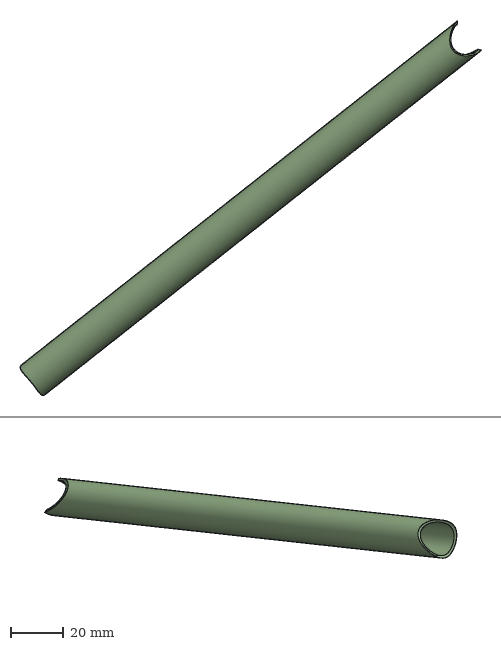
import cadquery as cq

tube_diameter = 14.5
wall = 0.9
cope_radius = 10.0
span_x = 152.5
span_z = 146.5
rise_y = 93.0
trim_y = 90.9
end_margin = 30.5
tool_length = 305.0

lower_end = cq.Vector(0, 0, 0)
upper_end = cq.Vector(span_x, rise_y, span_z)
axis = (upper_end - lower_end).normalized()
tube_length = (upper_end - lower_end).Length + 2 * end_margin


def make_tube():
    """Straight round tube along the sloping centre line."""
    start = lower_end - axis * end_margin
    plane = cq.Plane(origin=start.toTuple(), normal=axis.toTuple())
    outer_radius = tube_diameter / 2
    return cq.Workplane(plane).circle(outer_radius).circle(outer_radius - wall).extrude(tube_length)


def beyond_end(end, direction):
    """Everything past a cope axis: the round member plus the waste tube behind it."""
    member = (
        cq.Workplane("XZ", origin=(end.x, end.y, end.z))
        .circle(cope_radius)
        .extrude(tool_length / 2, both=True)
    )
    sloped = cq.Plane(
        origin=end.toTuple(),
        xDir=(0, 1, 0),
        normal=(direction * span_x, 0, direction * span_z),
    )
    waste = cq.Workplane(sloped).rect(tool_length, tool_length).extrude(tool_length)
    return member.union(waste)


def beyond_trim():
    """Block on the +Y side of the flat trim face."""
    return cq.Workplane("XY").box(
        2 * tool_length, tool_length, 2 * tool_length, centered=(True, False, True)
    ).translate((0, trim_y, 0))


result = (
    make_tube()
    .cut(beyond_end(lower_end, -1))
    .cut(beyond_end(upper_end, 1))
    .cut(beyond_trim())
)